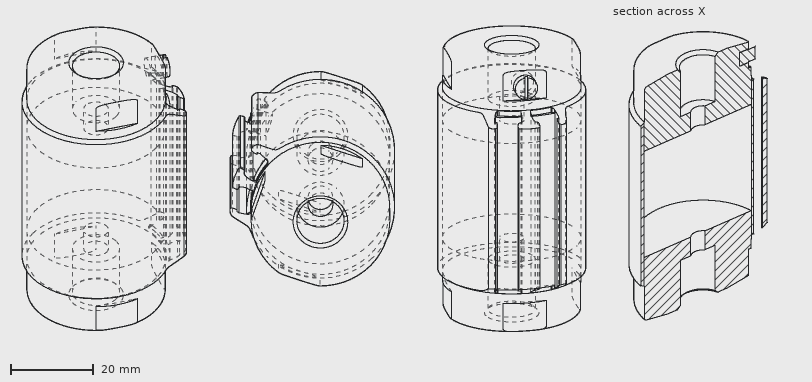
import cadquery as cq
import math

TOTAL_LENGTH = 69.0
HOUSING_DIA = 35.95
CAP_DIA = 33.6
HOUSING_INSET = 10.9
END_BEVEL_ANGLE = 30.0

RAIL_TOP_Y = 21.95
RAIL_ROOT_Y = 16.55
RAIL_FOOT_RADIUS = 2.1
RAIL_FOOT_X = 10.3

CHANNEL_HALF_WIDTH = 7.4
CHANNEL_FLOOR_Y = 17.65
CHANNEL_EDGE_Y = 16.4
CHANNEL_CLEAR_Y = 18.1
CHANNEL_ROOT_Y = 14.5
NOTCH_DEPTH = 1.4
NOTCH_LIP_RADIUS = 17.0

CAP_LENGTH = 19.3
CAP_FACE_DIA = 19.05
CAP_CROWN_DROP = 1.05
CAP_RIM_RADIUS = 0.8
FLAT_DISTANCE = 15.95
FLAT_HEIGHT = 8.4
FLAT_ANGLES = (0, 90, 180)
PORT_DIA = 11.45
PORT_MOUTH_DIA = 13.25
PORT_CHAMFER = 0.9
PORT_DEPTH = 13.8
PASSAGE_DIA = 6.0

SCREW_DIA = 5.5
SCREW_DROP = 4.9
SCREW_HEAD_Y = 18.0
SCREW_SUNK_DEPTH = 2.75
SLOT_WIDTH = 0.75
SLOT_DEPTH = 0.9

housing_radius = HOUSING_DIA / 2
cap_radius = CAP_DIA / 2
housing_bottom = HOUSING_INSET
housing_top = TOTAL_LENGTH - HOUSING_INSET
housing_length = housing_top - housing_bottom
screw_z = TOTAL_LENGTH - SCREW_DROP


def turned(points):
    """Revolve a closed (radius, z) outline about the Z axis."""
    return cq.Workplane("XZ").polyline(points).close().revolve(360, (0, 0), (0, 1))


def plane_at(z):
    return cq.Workplane("XY", origin=(0, 0, z))



def make_hook_rail():
    """Rail on the +X side with its tip hooked towards the centre."""
    return (
        plane_at(housing_bottom)
        .moveTo(CHANNEL_HALF_WIDTH, CHANNEL_ROOT_Y)
        .lineTo(CHANNEL_HALF_WIDTH, CHANNEL_EDGE_Y)
        .lineTo(7.95, 18.1)
        .lineTo(7.9, 18.7)
        .lineTo(7.45, 18.8)
        .lineTo(7.45, 19.45)
        .lineTo(7.65, 20.2)
        .lineTo(8.1, 20.35)
        .threePointArc((9.1, 19.95), (9.65, 19.25))
        .lineTo(10.35, 14.2)
        .close()
        .extrude(housing_length)
    )


def make_centre_rail():
    """T-shaped rail with a slightly crowned top."""
    right_side = [
        (1.2, RAIL_ROOT_Y),
        (1.2, 18.6),
        (1.4, 19.45),
        (1.7, 20.1),
        (2.35, 20.15),
        (2.6, 20.5),
        (2.7, 21.4),
        (2.55, 21.7),
    ]
    left_side = [(-x, y) for x, y in reversed(right_side)]
    return (
        plane_at(housing_bottom)
        .polyline(right_side)
        .threePointArc((0, RAIL_TOP_Y), left_side[0])
        .polyline(left_side, includeCurrent=False)
        .close()
        .extrude(housing_length)
    )


def channel_block(base_y):
    """Block between the hook rails, from the curved channel floor to a flat side at base_y."""
    return (
        plane_at(housing_bottom)
        .moveTo(-CHANNEL_HALF_WIDTH, base_y)
        .lineTo(-CHANNEL_HALF_WIDTH, CHANNEL_EDGE_Y)
        .threePointArc((0, CHANNEL_FLOOR_Y), (CHANNEL_HALF_WIDTH, CHANNEL_EDGE_Y))
        .lineTo(CHANNEL_HALF_WIDTH, base_y)
        .close()
        .extrude(housing_length)
    )


def channel_notch(z):
    """Step cut from one end of the channel floor, outside the lip around the cap."""
    right_side = [(6.75, 15.65), (7.3, 16.15), (CHANNEL_HALF_WIDTH, CHANNEL_CLEAR_Y)]
    left_side = [(-x, y) for x, y in reversed(right_side)]
    notch = plane_at(z).polyline(right_side + left_side).close().extrude(NOTCH_DEPTH)
    lip = plane_at(z).circle(NOTCH_LIP_RADIUS).extrude(NOTCH_DEPTH)
    return notch.cut(lip)


def bevelled_envelope():
    """Solid with 30 degree conical ends that trims the tube and the rails."""
    reach = RAIL_TOP_Y + 0.7
    drop = (reach - cap_radius) * math.tan(math.radians(END_BEVEL_ANGLE))
    return turned([
        (0, housing_bottom),
        (cap_radius, housing_bottom),
        (reach, housing_bottom + drop),
        (reach, housing_top - drop),
        (cap_radius, housing_top),
        (0, housing_top),
    ])


def make_housing():
    body = plane_at(housing_bottom).circle(housing_radius).extrude(housing_length)
    hook_rail = make_hook_rail()
    body = body.union(hook_rail).union(hook_rail.mirror("YZ"))

    for foot_x in (-RAIL_FOOT_X, RAIL_FOOT_X):
        foot_zone = cq.selectors.BoxSelector(
            (foot_x - 0.7, CHANNEL_ROOT_Y - 0.7, housing_bottom), (foot_x + 0.7, CHANNEL_ROOT_Y + 1.4, housing_top))
        body = body.edges("|Z").edges(foot_zone).fillet(RAIL_FOOT_RADIUS)

    body = body.union(channel_block(CHANNEL_ROOT_Y)).cut(channel_block(CHANNEL_CLEAR_Y))
    for notch_z in (housing_bottom, housing_top - NOTCH_DEPTH):
        body = body.cut(channel_notch(notch_z))
    body = body.union(make_centre_rail())

    bore = plane_at(housing_bottom).circle(cap_radius).extrude(housing_length)
    return body.intersect(bevelled_envelope()).cut(bore)



def cap_blank():
    """Plug with a shallow conical crown and a rounded rim."""
    rim_z = TOTAL_LENGTH - CAP_CROWN_DROP
    blank = turned([
        (0, TOTAL_LENGTH - CAP_LENGTH),
        (cap_radius, TOTAL_LENGTH - CAP_LENGTH),
        (cap_radius, rim_z),
        (CAP_FACE_DIA / 2, TOTAL_LENGTH),
        (0, TOTAL_LENGTH),
    ])
    rim_zone = cq.selectors.BoxSelector((-0.7, -0.7, rim_z - 0.1), (0.7, 0.7, rim_z + 0.1))
    return blank.edges(rim_zone).fillet(CAP_RIM_RADIUS)


def flat_cutter(angle):
    """Block that removes everything outside one wrench flat."""
    return (
        plane_at(TOTAL_LENGTH - FLAT_HEIGHT)
        .center((FLAT_DISTANCE + housing_radius) / 2, 0)
        .rect(housing_radius - FLAT_DISTANCE, CAP_DIA)
        .extrude(FLAT_HEIGHT)
        .rotate((0, 0, 0), (0, 0, 1), angle)
    )


def port_cutter():
    """Blind port with a conical mouth, followed by the narrow passage."""
    return turned([
        (0, TOTAL_LENGTH - CAP_LENGTH),
        (PASSAGE_DIA / 2, TOTAL_LENGTH - CAP_LENGTH),
        (PASSAGE_DIA / 2, TOTAL_LENGTH - PORT_DEPTH),
        (PORT_DIA / 2, TOTAL_LENGTH - PORT_DEPTH),
        (PORT_DIA / 2, TOTAL_LENGTH - PORT_CHAMFER),
        (PORT_MOUTH_DIA / 2, TOTAL_LENGTH),
        (0, TOTAL_LENGTH),
    ])


def make_cap():
    """End cap in its upper position, without the screw recess."""
    cap = cap_blank()
    for angle in FLAT_ANGLES:
        cap = cap.cut(flat_cutter(angle))
    return cap.cut(port_cutter())



def screw_blank():
    """Unslotted screw; the same shape cuts its recess in the cap."""
    inner_y = FLAT_DISTANCE - SCREW_SUNK_DEPTH
    return (
        cq.Workplane("XZ", origin=(0, inner_y, screw_z))
        .circle(SCREW_DIA / 2)
        .extrude(inner_y - SCREW_HEAD_Y)
    )


def make_screw():
    slot = (
        cq.Workplane("XY")
        .box(SLOT_WIDTH, SLOT_DEPTH, SCREW_DIA)
        .translate((0, SCREW_HEAD_Y - SLOT_DEPTH / 2, screw_z))
    )
    return screw_blank().cut(slot)



housing = make_housing()
plain_cap = make_cap()
upper_cap = plain_cap.cut(screw_blank())
lower_cap = plain_cap.mirror("XY").translate((0, 0, TOTAL_LENGTH))
screw = make_screw()

result = cq.Compound.makeCompound([
    housing.val(),
    upper_cap.val(),
    lower_cap.val(),
    screw.val(),
])